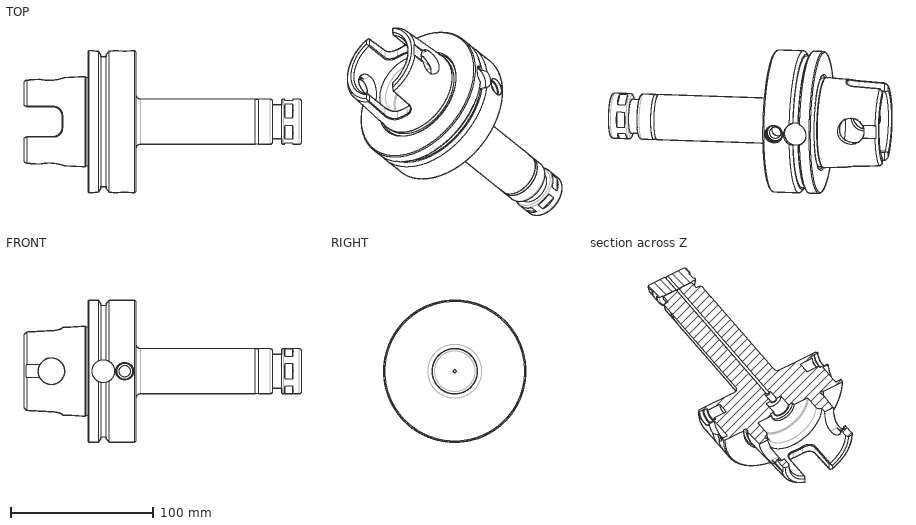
import cadquery as cq
import math


total_length = 195.0
taper_end = 42.9
flange_start = 44.8
flange_end = 78.8
marking_ring_start = 162.2
marking_ring_end = 164.5
shank_end = 174.7
nut_start = 181.0

taper_end_radius = 31.8
taper_slope = 0.05
taper_tip_length = 2.1
taper_tip_radius = 28.0
neck_radius = 31.2
face_groove_radius = 33.7
face_groove_floor_radius = 33.0
face_groove_depth = 1.0

bore_radius = 23.8
bore_mouth_radius = 25.0
bore_mouth_length = 2.0
bore_shoulder = 32.4
shoulder_edge_fillet = 3.0
inner_bore_radius = bore_radius - shoulder_edge_fillet
inner_bore_fillet = 0.5
inner_bore_end = 45.8

counterbore_diameter = 18.5
counterbore_depth = 2.0
socket_diameter = 12.0
socket_rim_diameter = 12.9
socket_depth = 9.8
nozzle_diameter = 4.5
nozzle_rim_diameter = 5.0
nozzle_depth = 7.8
coolant_diameter = 2.0

slot_half_width = 10.3
slot_end = 26.7
slot_corner_radius = 6.2
slot_mouth_flare = 1.2
slot_mouth_length = 2.3
slot_edge_chamfer = 0.5

cross_hole_diameter = 18.5
cross_hole_x = 19.3
cross_relief_x = 17.0
cross_relief_end = 27.3
keyway_width = 9.2
keyway_start = 1.4
keyway_floor = 29.0

flange_radius = 100.0 / 2
flange_front_chamfer = 0.8
flange_rear_chamfer = 1.0
groove_start = 52.5
groove_floor_start = 54.0
groove_floor_end = 57.7
groove_end = 59.9
groove_floor_radius = 46.5
groove_wall_radius = 47.5

recess_diameter = 16.0
recess_x = 55.8
recess_floor = 45.6
screw_x = 70.8
screw_rim_diameter = 12.9
screw_mouth_diameter = 12.0
screw_mouth_depth = 3.1
screw_diameter = 11.1
screw_depth = 6.2
screw_pilot_diameter = 8.0
screw_pilot_depth = 9.8

shank_radius = 16.0
shank_root_fillet = 3.0
shank_end_fillet = 2.0
marking_ring_depth = 0.2
nut_neck_radius = 24.0 / 2

nut_radius = 16.0
nut_rear_fillet = 1.2
nut_front_fillet = 1.8
flat_count = 6
flat_start = 183.3
flat_end = 188.8
flat_distance = 15.0
flat_wall_run = 0.4

ARC_TURN = 1 - math.sqrt(0.5)


def taper_radius(x):
    return taper_end_radius - taper_slope * (taper_end - x)


def x_cylinder(x_start, x_end, radius):
    return cq.Workplane("YZ", origin=(x_start, 0, 0)).circle(radius).extrude(x_end - x_start)


def side_cone(side, x, inner_diameter, outer_diameter, inner, outer):
    """Cone along Y between two distances from the axis, on the side given by its sign."""
    start = cq.Vector(x, side * inner, 0)
    direction = cq.Vector(0, side, 0)
    cone = cq.Solid.makeCone(inner_diameter / 2, outer_diameter / 2, outer - inner, start, direction)
    return cq.Workplane(obj=cone)


def side_cylinder(side, x, diameter, inner, outer):
    """Cylinder along Y between two distances from the axis, on the side given by its sign."""
    start = cq.Vector(x, side * inner, 0)
    direction = cq.Vector(0, side, 0)
    cylinder = cq.Solid.makeCylinder(diameter / 2, outer - inner, start, direction)
    return cq.Workplane(obj=cylinder)


def holder_blank():
    root_radius = shank_radius + shank_root_fillet
    fillet_turn = shank_root_fillet * ARC_TURN
    end_turn = shank_end_fillet * ARC_TURN
    ring_radius = shank_radius - marking_ring_depth
    groove_bottom = flange_start + face_groove_depth
    return (
        cq.Workplane("XY")
        .moveTo(0, 0)
        .lineTo(0, taper_tip_radius)
        .lineTo(taper_tip_length, taper_radius(taper_tip_length))
        .lineTo(taper_end, taper_end_radius)
        .lineTo(taper_end + taper_end_radius - neck_radius, neck_radius)
        .lineTo(groove_bottom, neck_radius)
        .lineTo(groove_bottom, face_groove_floor_radius)
        .lineTo(flange_start, face_groove_radius)
        .lineTo(flange_start, flange_radius - flange_front_chamfer)
        .lineTo(flange_start + flange_front_chamfer, flange_radius)
        .lineTo(groove_start, flange_radius)
        .lineTo(groove_floor_start, groove_wall_radius)
        .lineTo(groove_floor_start, groove_floor_radius)
        .lineTo(groove_floor_end, groove_floor_radius)
        .lineTo(groove_floor_end, groove_wall_radius)
        .lineTo(groove_end, flange_radius)
        .lineTo(flange_end - flange_rear_chamfer, flange_radius)
        .lineTo(flange_end, flange_radius - flange_rear_chamfer)
        .lineTo(flange_end, root_radius)
        .threePointArc(
            (flange_end + fillet_turn, shank_radius + fillet_turn),
            (flange_end + shank_root_fillet, shank_radius),
        )
        .lineTo(marking_ring_start, shank_radius)
        .lineTo(marking_ring_start, ring_radius)
        .lineTo(marking_ring_end, ring_radius)
        .lineTo(marking_ring_end, shank_radius)
        .lineTo(shank_end - shank_end_fillet, shank_radius)
        .threePointArc(
            (shank_end - end_turn, shank_radius - end_turn),
            (shank_end, shank_radius - shank_end_fillet),
        )
        .lineTo(shank_end, nut_neck_radius)
        .lineTo(nut_start, nut_neck_radius)
        .lineTo(nut_start, 0)
        .close()
        .revolve(360, (0, 0, 0), (1, 0, 0))
    )


def taper_bore():
    """Stepped bore with a chamfered mouth and a rounded shoulder."""
    edge_turn = shoulder_edge_fillet * ARC_TURN
    floor_turn = inner_bore_fillet * ARC_TURN
    return (
        cq.Workplane("XY")
        .moveTo(0, 0)
        .lineTo(0, bore_mouth_radius)
        .lineTo(bore_mouth_length, bore_radius)
        .lineTo(bore_shoulder, bore_radius)
        .threePointArc(
            (bore_shoulder + edge_turn, inner_bore_radius + edge_turn),
            (bore_shoulder + shoulder_edge_fillet, inner_bore_radius),
        )
        .lineTo(inner_bore_end - inner_bore_fillet, inner_bore_radius)
        .threePointArc(
            (inner_bore_end - floor_turn, inner_bore_radius - floor_turn),
            (inner_bore_end, inner_bore_radius - inner_bore_fillet),
        )
        .lineTo(inner_bore_end, 0)
        .close()
        .revolve(360, (0, 0, 0), (1, 0, 0))
    )


def rimmed_hole(x, depth, diameter, rim_diameter):
    """Hole along X with a 45 degree chamfer at its mouth."""
    rim_length = (rim_diameter - diameter) / 2
    rim = cq.Solid.makeCone(
        rim_diameter / 2, diameter / 2, rim_length, cq.Vector(x, 0, 0), cq.Vector(1, 0, 0)
    )
    return x_cylinder(x, x + depth, diameter / 2).union(cq.Workplane(obj=rim))


def coolant_passage():
    socket_start = inner_bore_end + counterbore_depth
    nozzle_start = socket_start + socket_depth
    return (
        x_cylinder(inner_bore_end, socket_start, counterbore_diameter / 2)
        .union(rimmed_hole(socket_start, socket_depth, socket_diameter, socket_rim_diameter))
        .union(rimmed_hole(nozzle_start, nozzle_depth, nozzle_diameter, nozzle_rim_diameter))
        .union(x_cylinder(nozzle_start, total_length, coolant_diameter / 2))
    )


def drive_slots():
    """One cutter through both sides of the taper, flared at its mouth."""
    mouth = slot_half_width + slot_mouth_flare
    height = 2 * flange_radius
    return (
        cq.Workplane("XY", origin=(0, 0, -flange_radius))
        .moveTo(0, -mouth)
        .lineTo(slot_mouth_length, -slot_half_width)
        .lineTo(slot_end, -slot_half_width)
        .lineTo(slot_end, slot_half_width)
        .lineTo(slot_mouth_length, slot_half_width)
        .lineTo(0, mouth)
        .close()
        .extrude(height)
        .edges("|Z and >X").fillet(slot_corner_radius)
    )


def chamfer_slot_edges(holder):
    """Chamfer the inner and outer edges of both drive slots behind their flared mouths."""
    near = slot_mouth_length + slot_edge_chamfer
    far = slot_end + slot_edge_chamfer
    reach = slot_half_width + slot_edge_chamfer
    low = math.sqrt(bore_radius**2 - reach**2)
    for bottom, top in ((low, flange_radius), (-flange_radius, -low)):
        slot_box = cq.selectors.BoxSelector((near, -reach, bottom), (far, reach, top))
        holder = holder.edges(slot_box).edges("not |Z").chamfer(slot_edge_chamfer)
    return holder


def keyway(side):
    length = cross_hole_x - keyway_start
    depth = flange_radius - keyway_floor
    return (
        cq.Workplane("XY")
        .box(length, depth, keyway_width, centered=(False, True, True))
        .translate((keyway_start, side * (keyway_floor + depth / 2), 0))
    )


def screw_hole(side):
    rim_depth = (screw_rim_diameter - screw_mouth_diameter) / 2
    neck_depth = (screw_mouth_diameter - screw_diameter) / 2
    rim_floor = flange_radius - rim_depth
    mouth_floor = flange_radius - screw_mouth_depth
    floor = flange_radius - screw_depth
    return (
        side_cone(side, screw_x, screw_mouth_diameter, screw_rim_diameter, rim_floor, flange_radius)
        .union(side_cylinder(side, screw_x, screw_mouth_diameter, mouth_floor, flange_radius))
        .union(side_cone(
            side, screw_x, screw_diameter, screw_mouth_diameter, mouth_floor - neck_depth, mouth_floor
        ))
        .union(side_cylinder(side, screw_x, screw_diameter, floor, mouth_floor))
        .union(side_cylinder(side, screw_x, screw_pilot_diameter, floor - screw_pilot_depth, floor))
    )


def cross_hole(side):
    return (
        side_cylinder(side, cross_hole_x, cross_hole_diameter, 0, flange_radius)
        .union(side_cylinder(side, cross_relief_x, cross_hole_diameter, 0, cross_relief_end))
    )


def flange_recess(side):
    return side_cylinder(side, recess_x, recess_diameter, recess_floor, flange_radius)


def make_holder():
    holder = holder_blank().cut(taper_bore()).cut(coolant_passage()).cut(drive_slots())
    holder = chamfer_slot_edges(holder)
    for side in (-1, 1):
        for cutter in (cross_hole, keyway, flange_recess, screw_hole):
            holder = holder.cut(cutter(side))
    return holder


def nut_flat(angle):
    """Cutter for one wrench flat with sloping end walls."""
    rise = nut_radius - flat_distance
    return (
        cq.Workplane("XY", origin=(0, 0, -nut_radius))
        .moveTo(flat_start, -flat_distance)
        .lineTo(flat_end, -flat_distance)
        .lineTo(flat_end + flat_wall_run, -flat_distance - rise)
        .lineTo(flat_start - flat_wall_run, -flat_distance - rise)
        .close()
        .extrude(2 * nut_radius)
        .rotate((0, 0, 0), (1, 0, 0), angle)
    )


def make_nut():
    nut = x_cylinder(nut_start, total_length, nut_radius)
    nut = nut.faces("<X").edges().fillet(nut_rear_fillet)
    nut = nut.faces(">X").edges().fillet(nut_front_fillet)
    nut = nut.cut(x_cylinder(nut_start, total_length, coolant_diameter / 2))
    for index in range(flat_count):
        nut = nut.cut(nut_flat(index * 360 / flat_count))
    return nut


holder = make_holder()
nut = make_nut()
result = cq.Compound.makeCompound([holder.val(), nut.val()])